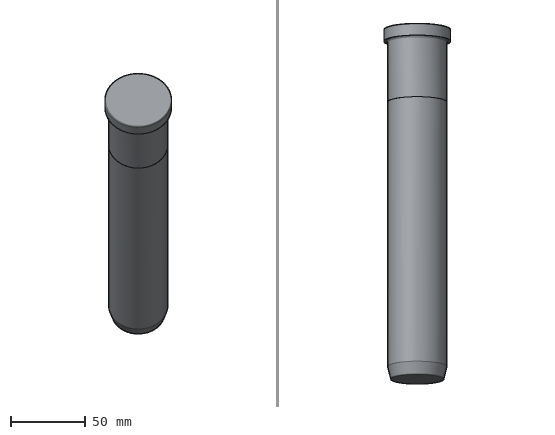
import cadquery as cq
import math

total_length = 240.0
head_diameter = 45.0
head_thickness = 8.2
head_edge_round = 0.5
neck_round = 0.7
shaft_diameter = 40.0
upper_length = 50.0
tip_length = 8.6
tip_taper_angle = 14.0
tip_edge_round = 0.5

shaft_radius = shaft_diameter / 2
tip_radius = shaft_radius - tip_length * math.tan(math.radians(tip_taper_angle))
joint_height = total_length - upper_length
head_underside = total_length - head_thickness


def make_headed_section():
    """Flat round head on the upper stretch of the shaft, with a small round at the neck."""
    shaft = cq.Workplane("XY", origin=(0, 0, joint_height)).circle(shaft_radius).extrude(upper_length)
    head = (
        cq.Workplane("XY", origin=(0, 0, head_underside))
        .circle(head_diameter / 2)
        .extrude(head_thickness)
        .faces(">Z")
        .edges()
        .fillet(head_edge_round)
    )
    neck_box = cq.selectors.BoxSelector(
        (-shaft_diameter, -shaft_diameter, head_underside - neck_round),
        (shaft_diameter, shaft_diameter, head_underside + neck_round),
    )
    neck_edge = cq.selectors.RadiusNthSelector(0)
    return shaft.union(head).edges("%CIRCLE").edges(neck_box).edges(neck_edge).fillet(neck_round)


def make_guide_section():
    """Long lower stretch of the shaft, with a tapered lead-in and a rounded end edge."""
    return (
        cq.Workplane("XZ")
        .lineTo(tip_radius, 0)
        .lineTo(shaft_radius, tip_length)
        .lineTo(shaft_radius, joint_height)
        .lineTo(0, joint_height)
        .close()
        .revolve(360, (0, 0, 0), (0, 1, 0))
        .faces("<Z")
        .edges()
        .fillet(tip_edge_round)
    )


headed_section = make_headed_section()
guide_section = make_guide_section()

result = cq.Compound.makeCompound([headed_section.val(), guide_section.val()])